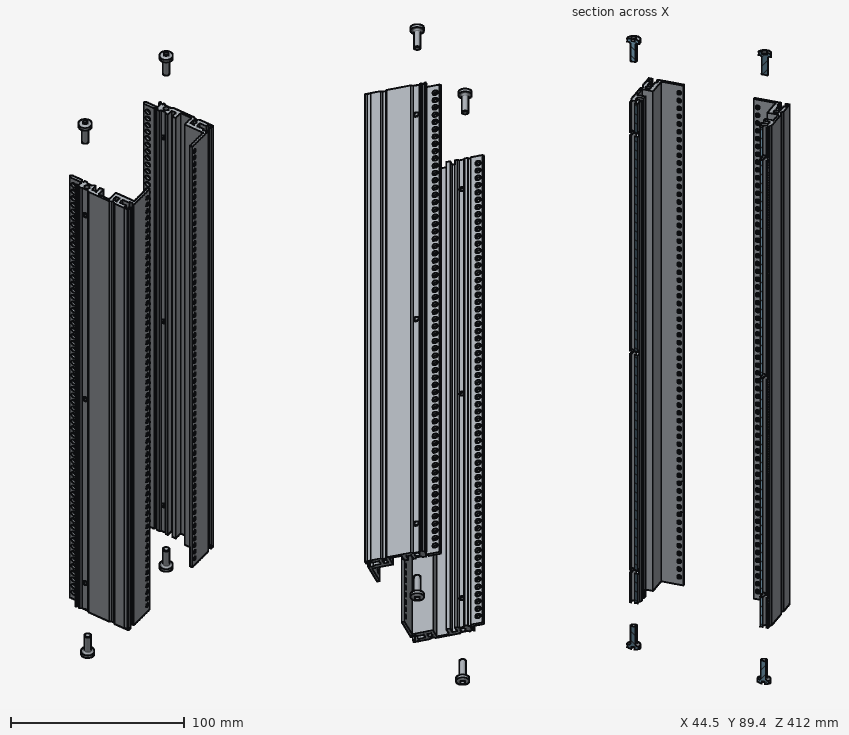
import cadquery as cq
import math


RAIL_LENGTH = 325.0
RAIL_CENTER_Z = -6.0
RAIL_BOTTOM_Z = RAIL_CENTER_Z - RAIL_LENGTH / 2
RAIL_WIDTH = 44.5
RAIL_LEFT_X = -RAIL_WIDTH / 2
RAIL_OUTER_Y = 43.5

WEB_DEPTH = 1.5
POCKET_DEPTH = 2.7
STRIP_OUTER_DEPTH = 4.5
STRIP_INNER_DEPTH = 6.5
STRIP_CHAMFER = 0.6
BOX_DEPTH = 8.2
FLANGE_DEPTH = 22.0

LIP_LEFT = 7.5
BLOCK_LEFT = 8.5
BLOCK_RIGHT = 17.3
RIB_LEFT = 20.0
RIB_RIGHT = 22.5
BOX_LEFT = 30.0
FLANGE_THICKNESS = 1.5

OUTER_NOTCH_LEFT = 8.2
OUTER_NOTCH_RIGHT = 10.0
OUTER_NOTCH_DEPTH = 1.0
INNER_NOTCH_LEFT = 8.0
INNER_NOTCH_RIGHT = 9.5
INNER_NOTCH_DEPTH = 1.03

GUIDE_X = -8.5
GUIDE_OUTER_TOP = 6.0
GUIDE_OUTER_FLOOR = 3.5
GUIDE_INNER_TOP = 4.5
GUIDE_INNER_FLOOR = 3.0
GUIDE_DEPTH = 1.0

SCORE_CENTER = 33.0
SCORE_TOP = 3.5
SCORE_FLOOR = 1.5
SCORE_DEPTH = 1.0

SLOT_OUTER_DEPTH = 2.5
SLOT_INNER_DEPTH = 5.5
CHAMBER_LEFT = 32.0
CHAMBER_RIGHT = 34.5
SLOT_LEFT = 36.5
UNDERCUT_LEFT = 41.0
UNDERCUT_RIGHT = 43.2
UNDERCUT_OUTER_DEPTH = 0.6
UNDERCUT_INNER_DEPTH = 6.0

PITCH = RAIL_LENGTH / 64
ROW_COUNT = 63
STRIP_HOLE_D = 3.2
STRIP_HOLE_X = -19.0
FLANGE_HOLE_D = 2.5
FLANGE_HOLE_Y = 24.3
GUIDE_HOLE_D = 3.0
GUIDE_HOLE_STEP = 28 * PITCH
CORE_D = 3.13
CORE_Y = 40.7

SHANK_D = 4.0
SHANK_LENGTH = 12.5
TIP_CHAMFER = 0.5
NECK_FILLET = 1.03
HEAD_D = 8.0
RIM_HEIGHT = 2.0
DOME_HEIGHT = 1.0
SOCKET_D = 3.0
SOCKET_DEPTH = 1.5
HEAD_HEIGHT = RIM_HEIGHT + DOME_HEIGHT

TOP_SCREWS = [(-10.0, -40.7, 206.0), (GUIDE_X, 40.7, 198.5)]
BOTTOM_SCREWS = [(GUIDE_X, -40.0, -206.0), (GUIDE_X, 40.7, -199.2)]


def groove(center, top_width, floor_width, face_depth, floor_depth):
    """Section of a tapered groove, left to right, as (position, depth) points."""
    return [
        (center - top_width / 2, face_depth),
        (center - floor_width / 2, floor_depth),
        (center + floor_width / 2, floor_depth),
        (center + top_width / 2, face_depth),
    ]


def rail_section():
    """Outline of the rail as (position from left edge, depth from outer face) points."""
    guide = GUIDE_X - RAIL_LEFT_X
    inner = STRIP_INNER_DEPTH
    strip_left_end = [
        (0, inner - STRIP_CHAMFER),
        (0, STRIP_OUTER_DEPTH + STRIP_CHAMFER),
        (STRIP_CHAMFER, STRIP_OUTER_DEPTH),
    ]
    lip = [
        (BLOCK_LEFT, STRIP_OUTER_DEPTH),
        (BLOCK_LEFT, WEB_DEPTH),
        (LIP_LEFT, WEB_DEPTH),
        (LIP_LEFT, 0),
        (OUTER_NOTCH_LEFT, 0),
        (OUTER_NOTCH_LEFT, OUTER_NOTCH_DEPTH),
        (OUTER_NOTCH_RIGHT, OUTER_NOTCH_DEPTH),
        (OUTER_NOTCH_RIGHT, 0),
    ]
    outer_grooves = [
        *groove(guide, GUIDE_OUTER_TOP, GUIDE_OUTER_FLOOR, 0, GUIDE_DEPTH),
        *groove(SCORE_CENTER, SCORE_TOP, SCORE_FLOOR, 0, SCORE_DEPTH),
    ]
    slot = [
        (RAIL_WIDTH, 0),
        (RAIL_WIDTH, SLOT_OUTER_DEPTH),
        (UNDERCUT_RIGHT, SLOT_OUTER_DEPTH),
        (UNDERCUT_RIGHT, UNDERCUT_OUTER_DEPTH),
        (UNDERCUT_LEFT, UNDERCUT_OUTER_DEPTH),
        (UNDERCUT_LEFT, SLOT_OUTER_DEPTH),
        (SLOT_LEFT, SLOT_OUTER_DEPTH),
        (SLOT_LEFT, SLOT_INNER_DEPTH),
        (UNDERCUT_LEFT, SLOT_INNER_DEPTH),
        (UNDERCUT_LEFT, UNDERCUT_INNER_DEPTH),
        (UNDERCUT_RIGHT, UNDERCUT_INNER_DEPTH),
        (UNDERCUT_RIGHT, SLOT_INNER_DEPTH),
        (RAIL_WIDTH, SLOT_INNER_DEPTH),
    ]
    flange = [
        (RAIL_WIDTH, FLANGE_DEPTH),
        (RAIL_WIDTH - FLANGE_THICKNESS, FLANGE_DEPTH),
        (RAIL_WIDTH - FLANGE_THICKNESS, BOX_DEPTH),
        (BOX_LEFT, BOX_DEPTH),
        (BOX_LEFT, WEB_DEPTH),
    ]
    rib_and_block = [
        (RIB_RIGHT, WEB_DEPTH),
        (RIB_RIGHT, inner),
        (RIB_LEFT, inner),
        (RIB_LEFT, POCKET_DEPTH),
        (BLOCK_RIGHT, POCKET_DEPTH),
        (BLOCK_RIGHT, inner),
        *reversed(groove(guide, GUIDE_INNER_TOP, GUIDE_INNER_FLOOR, inner, inner - GUIDE_DEPTH)),
    ]
    inner_notch = [
        (INNER_NOTCH_RIGHT, inner),
        (INNER_NOTCH_RIGHT, inner - INNER_NOTCH_DEPTH),
        (INNER_NOTCH_LEFT, inner - INNER_NOTCH_DEPTH),
        (INNER_NOTCH_LEFT, inner),
        (STRIP_CHAMFER, inner),
    ]
    return strip_left_end + lip + outer_grooves + slot + flange + rib_and_block + inner_notch


def make_rail():
    """The rail on the -Y side."""
    section = cq.Workplane("XY", origin=(RAIL_LEFT_X, -RAIL_OUTER_Y, RAIL_BOTTOM_Z))
    body = section.polyline(rail_section()).close().extrude(RAIL_LENGTH)

    chamber_width = CHAMBER_RIGHT - CHAMBER_LEFT
    chamber_height = SLOT_INNER_DEPTH - SLOT_OUTER_DEPTH
    chamber_corner = section.moveTo(CHAMBER_LEFT, SLOT_OUTER_DEPTH)
    chamber = chamber_corner.rect(chamber_width, chamber_height, centered=False)
    body = body.cut(chamber.extrude(RAIL_LENGTH))
    core = section.moveTo(GUIDE_X - RAIL_LEFT_X, RAIL_OUTER_Y - CORE_Y).circle(CORE_D / 2)
    body = body.cut(core.extrude(RAIL_LENGTH))

    row = [(i - (ROW_COUNT - 1) / 2) * PITCH for i in range(ROW_COUNT)]
    across = cq.Workplane("XZ", origin=(0, 0, RAIL_CENTER_Z))
    strip_holes = across.pushPoints([(STRIP_HOLE_X, z) for z in row]).circle(STRIP_HOLE_D / 2)
    body = body.cut(strip_holes.extrude(RAIL_OUTER_Y))
    guide_points = [(GUIDE_X, k * GUIDE_HOLE_STEP) for k in (-1, 0, 1)]
    guide_holes = across.pushPoints(guide_points).circle(GUIDE_HOLE_D / 2)
    body = body.cut(guide_holes.extrude(RAIL_OUTER_Y))
    along = cq.Workplane("YZ", origin=(0, 0, RAIL_CENTER_Z))
    flange_holes = along.pushPoints([(-FLANGE_HOLE_Y, z) for z in row]).circle(FLANGE_HOLE_D / 2)
    return body.cut(flange_holes.extrude(RAIL_WIDTH))


def make_screw():
    """Screw along Z, pointing down, with the socket edge of its head at Z = 0."""
    head_radius = HEAD_D / 2
    shank_radius = SHANK_D / 2
    tip_z = -HEAD_HEIGHT - SHANK_LENGTH
    socket_radius = SOCKET_D / 2
    dome_center_z = (socket_radius**2 - head_radius**2 - DOME_HEIGHT**2) / (2 * DOME_HEIGHT)
    dome_radius = math.hypot(socket_radius, dome_center_z)
    middle_r = (head_radius + socket_radius) / 2
    dome_middle = (middle_r, dome_center_z + math.sqrt(dome_radius**2 - middle_r**2))
    profile = (
        cq.Workplane("XZ")
        .moveTo(0, tip_z)
        .lineTo(shank_radius - TIP_CHAMFER, tip_z)
        .lineTo(shank_radius, tip_z + TIP_CHAMFER)
        .lineTo(shank_radius, -HEAD_HEIGHT - NECK_FILLET)
        .radiusArc((shank_radius + NECK_FILLET, -HEAD_HEIGHT), NECK_FILLET)
        .lineTo(head_radius, -HEAD_HEIGHT)
        .lineTo(head_radius, -DOME_HEIGHT)
        .threePointArc(dome_middle, (socket_radius, 0))
        .lineTo(0, 0)
        .close()
    )
    screw = profile.revolve(360, (0, 0, 0), (0, 1, 0))
    socket = cq.Workplane("XY").circle(socket_radius).extrude(-SOCKET_DEPTH)
    return screw.cut(socket)


front_rail = make_rail()
back_rail = front_rail.mirror("XZ")

screws = []
for place in TOP_SCREWS:
    screws.append(make_screw().translate(place).val())
for place in BOTTOM_SCREWS:
    upturned = make_screw().rotate((0, 0, 0), (1, 0, 0), 180)
    screws.append(upturned.translate(place).val())

result = cq.Compound.makeCompound([front_rail.val(), back_rail.val(), *screws])